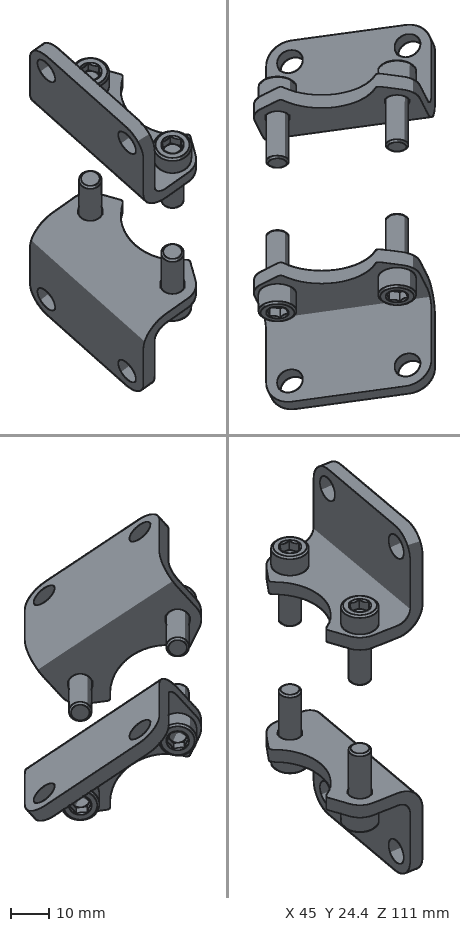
import cadquery as cq
import math

total_height = 111.0

bracket_width = 45.0
bracket_height = 30.5
thickness = 4.0
bend_inner_radius = 4.0
bend_outer_radius = bend_inner_radius + thickness
half_width = bracket_width / 2

wall_corner_radius = 7.0
mount_hole_diameter = 7.0
mount_hole_spacing = 32.0
mount_hole_edge_distance = 6.4

screw_spacing = 32.5
screw_y = 15.8
screw_hole_diameter = 6.5
flange_corner_radius = half_width - screw_spacing / 2
shoulder_angle = math.radians(29)
saddle_radius = 15.0
saddle_center_y = 32.1
horn_radius = 1.0

shank_diameter = 6.0
shank_length = 18.0
shank_chamfer = 0.5
head_diameter = 10.0
head_height = 6.0
head_chamfer = 0.5
head_underside_fillet = 0.3
socket_across_flats = 5.0
socket_depth = 3.0
socket_corner_diameter = socket_across_flats / math.cos(math.pi / 6)
socket_turn = 30
socket_tip_depth = 1.4
socket_rim_diameter = 6.0

flange_bottom_z = total_height / 2 - bracket_height
flange_top_z = flange_bottom_z + thickness
mount_hole_z = total_height / 2 - mount_hole_edge_distance
screw_positions = [-screw_spacing / 2, screw_spacing / 2]


def horn_point():
    """Sharp corner, on the +X side, where the sloping shoulder meets the saddle circle."""
    slope = math.tan(shoulder_angle)
    line_y = screw_y + flange_corner_radius / math.cos(shoulder_angle) + slope * screw_spacing / 2
    drop = saddle_center_y - line_y
    a = 1 + slope ** 2
    b = 2 * slope * drop
    c = drop ** 2 - saddle_radius ** 2
    x = (-b + math.sqrt(b ** 2 - 4 * a * c)) / (2 * a)
    return x, line_y - slope * x


def bent_sheet():
    """L-shaped strip with a rounded bend, outer wall face at y = 0."""
    flange_reach = saddle_center_y
    sheet = (
        cq.Workplane("YZ")
        .moveTo(0, total_height / 2)
        .lineTo(0, flange_bottom_z)
        .lineTo(flange_reach, flange_bottom_z)
        .lineTo(flange_reach, flange_top_z)
        .lineTo(thickness, flange_top_z)
        .lineTo(thickness, total_height / 2)
        .close()
        .extrude(half_width, both=True)
    )
    outer_bend = cq.selectors.NearestToPointSelector((0, 0, flange_bottom_z))
    sheet = sheet.edges(outer_bend).fillet(bend_outer_radius)
    inner_bend = cq.selectors.NearestToPointSelector((0, thickness, flange_top_z))
    sheet = sheet.edges(inner_bend).fillet(bend_inner_radius)
    return sheet.edges("|Y and >Z").edges("<X or >X").fillet(wall_corner_radius)


def flange_blank():
    """Plan shape of the bracket as a tall prism: round corners, sloping shoulders, saddle."""
    horn_x, horn_y = horn_point()
    corner_x = screw_spacing / 2
    arc_middle = (math.pi / 2 - shoulder_angle) / 2
    arc_end = math.pi / 2 - shoulder_angle

    def corner_arc(angle, side):
        x = corner_x + flange_corner_radius * math.cos(angle)
        return side * x, screw_y + flange_corner_radius * math.sin(angle)

    blank = (
        cq.Workplane("XY")
        .moveTo(-half_width, 0)
        .lineTo(half_width, 0)
        .lineTo(half_width, screw_y)
        .threePointArc(corner_arc(arc_middle, 1), corner_arc(arc_end, 1))
        .lineTo(horn_x, horn_y)
        .threePointArc((0, saddle_center_y - saddle_radius), (-horn_x, horn_y))
        .lineTo(*corner_arc(arc_end, -1))
        .threePointArc(corner_arc(arc_middle, -1), (-half_width, screw_y))
        .close()
        .extrude(total_height / 2)
    )
    for x in (-horn_x, horn_x):
        horn_edge = cq.selectors.NearestToPointSelector((x, horn_y, total_height / 4))
        blank = blank.edges("|Z").edges(horn_edge).fillet(horn_radius)
    return blank


def upper_bracket():
    mount_holes = (
        cq.Workplane("XZ")
        .pushPoints([(x, mount_hole_z) for x in (-mount_hole_spacing / 2, mount_hole_spacing / 2)])
        .circle(mount_hole_diameter / 2)
        .extrude(-thickness)
    )
    screw_holes = (
        cq.Workplane("XY", origin=(0, 0, flange_bottom_z))
        .pushPoints([(x, screw_y) for x in screw_positions])
        .circle(screw_hole_diameter / 2)
        .extrude(thickness)
    )
    return bent_sheet().intersect(flange_blank()).cut(mount_holes).cut(screw_holes)


def upper_screw(x):
    """Screw pointing down, with its head resting on top of the flange."""
    head = cq.Workplane("XY").circle(head_diameter / 2).extrude(head_height)
    head = head.faces(">Z").chamfer(head_chamfer)
    head = head.faces("<Z").edges().fillet(head_underside_fillet)
    shank = cq.Workplane("XY").circle(shank_diameter / 2).extrude(-shank_length)
    shank = shank.faces("<Z").chamfer(shank_chamfer)
    socket = (
        cq.Workplane("XY", origin=(0, 0, head_height))
        .transformed(rotate=(0, 0, socket_turn))
        .polygon(6, socket_corner_diameter)
        .extrude(-socket_depth)
    )
    rim_radius = socket_rim_diameter / 2
    socket_rim = cq.Solid.makeCone(
        rim_radius,
        0,
        rim_radius,
        pnt=cq.Vector(0, 0, head_height),
        dir=cq.Vector(0, 0, -1),
    )
    socket_tip = cq.Solid.makeCone(
        socket_across_flats / 2,
        0,
        socket_tip_depth,
        pnt=cq.Vector(0, 0, head_height - socket_depth),
        dir=cq.Vector(0, 0, -1),
    )
    screw = head.union(shank).cut(socket)
    screw = screw.cut(cq.Workplane(socket_tip)).cut(cq.Workplane(socket_rim))
    return screw.translate((x, screw_y, flange_top_z))


upper_bodies = [upper_bracket().val()]
for screw_x in screw_positions:
    upper_bodies.append(upper_screw(screw_x).val())

lower_bodies = [body.mirror("XY") for body in upper_bodies]

result = cq.Compound.makeCompound([*upper_bodies, *lower_bodies])